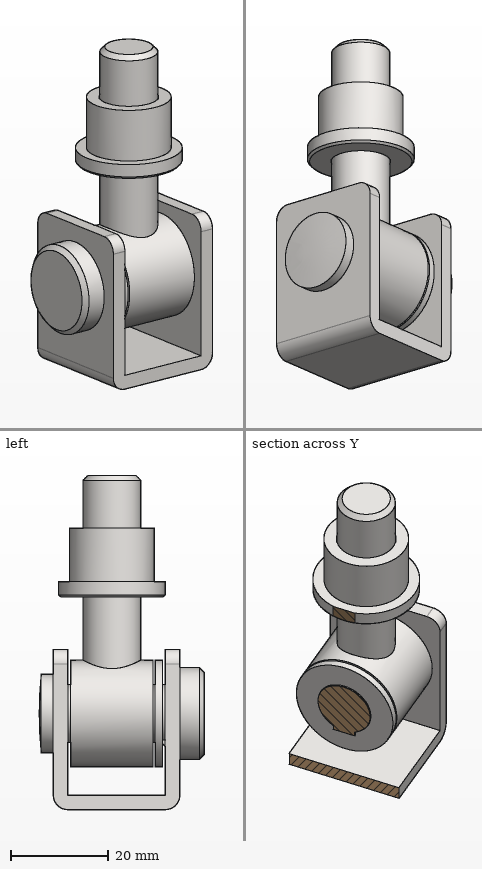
import cadquery as cq
import math

TOTAL_HEIGHT = 68.75

BRACKET_WIDTH = 25.0
BRACKET_HEIGHT = 33.0
PLATE = 3.0
ARM_GAP = 20.0
BEND_RADIUS = PLATE
ARM_CORNER_RADIUS = 3.0
ARM_INNER_Y = ARM_GAP / 2
ARM_OUTER_Y = ARM_INNER_Y + PLATE

PIN_Z = 19.8
PIN_RADIUS = 6.0
PIN_HEAD_RADIUS = 9.5
PIN_HEAD_LENGTH = 5.0
PIN_HEAD_CHAMFER = 1.0
PIN_END_GRIP = 1.4
SIDE_CLEARANCE = 0.55
KEY_WIDTH = 4.95
KEY_REACH = 6.8
KEY_CHAMFER = SIDE_CLEARANCE

CAP_RADIUS = 8.1
CAP_RIM = 2.5
CAP_DOME = 0.4

BARREL_RADIUS = 11.0
BARREL_LENGTH = 17.0
BARREL_CENTRE_Y = ARM_INNER_Y - SIDE_CLEARANCE - BARREL_LENGTH / 2
STEM_RADIUS = 6.0
STEM_CHAMFER = 1.0

WASHER_THICKNESS = 1.5

SLEEVE_RADIUS = 8.7
SLEEVE_LENGTH = 11.0
SLEEVE_BORE_RADIUS = 6.1
SLEEVE_TOP_Z = TOTAL_HEIGHT - 10.85
FLANGE_RADIUS = 11.0
FLANGE_THICKNESS = 3.15
FLANGE_CHAMFER = 0.5


def rod_along_y(radius, start_y, length):
    """Cylinder on the pin axis, running from start_y toward +Y."""
    plane = cq.Plane(origin=(0, start_y, PIN_Z), xDir=(1, 0, 0), normal=(0, 1, 0))
    return cq.Workplane(plane).circle(radius).extrude(length)


def make_key():
    """Block below the pin, from the head to the washer, bevelled at its tip."""
    length = PLATE + SIDE_CLEARANCE
    return (
        cq.Workplane("XY")
        .box(KEY_WIDTH, length, KEY_REACH, centered=(True, False, False))
        .translate((0, -ARM_OUTER_Y, PIN_Z - KEY_REACH))
        .edges(">Y and <Z")
        .chamfer(KEY_CHAMFER)
    )


def make_pin():
    head = (
        rod_along_y(PIN_HEAD_RADIUS, -ARM_OUTER_Y - PIN_HEAD_LENGTH, PIN_HEAD_LENGTH)
        .faces("<Y")
        .chamfer(PIN_HEAD_CHAMFER)
    )
    shaft = rod_along_y(PIN_RADIUS, -ARM_OUTER_Y, 2 * ARM_OUTER_Y + PIN_END_GRIP)
    return head.union(shaft).union(make_key())


def make_cap():
    """Disc with a shallow domed outer face and a blind recess for the pin end."""
    dome_sphere_radius = (CAP_RADIUS**2 + CAP_DOME**2) / (2 * CAP_DOME)
    half_radius = CAP_RADIUS / 2
    half_radius_drop = dome_sphere_radius - math.sqrt(dome_sphere_radius**2 - half_radius**2)
    rim_y = ARM_OUTER_Y + CAP_RIM
    crown_y = rim_y + CAP_DOME
    disc = (
        cq.Workplane("XY")
        .moveTo(0, ARM_OUTER_Y)
        .lineTo(CAP_RADIUS, ARM_OUTER_Y)
        .lineTo(CAP_RADIUS, rim_y)
        .threePointArc((half_radius, crown_y - half_radius_drop), (0, crown_y))
        .close()
        .revolve(360, (0, 0, 0), (0, 1, 0))
        .translate((0, 0, PIN_Z))
    )
    return disc.cut(rod_along_y(PIN_RADIUS, ARM_OUTER_Y, PIN_END_GRIP))


def make_bracket():
    outer = (
        cq.Workplane("XY")
        .box(BRACKET_WIDTH, 2 * ARM_OUTER_Y, BRACKET_HEIGHT, centered=(True, True, False))
        .edges("|X and <Z")
        .fillet(BEND_RADIUS)
        .edges("|Y and >Z")
        .fillet(ARM_CORNER_RADIUS)
    )
    channel = (
        cq.Workplane("XY")
        .box(BRACKET_WIDTH, ARM_GAP, BRACKET_HEIGHT, centered=(True, True, False))
        .translate((0, 0, PLATE))
    )
    pin_hole = rod_along_y(PIN_RADIUS, -ARM_OUTER_Y, 2 * ARM_OUTER_Y)
    return outer.cut(channel).cut(pin_hole).cut(make_key())


def make_eye_bolt():
    barrel_start_y = BARREL_CENTRE_Y - BARREL_LENGTH / 2
    barrel = rod_along_y(BARREL_RADIUS, barrel_start_y, BARREL_LENGTH)
    stem = (
        cq.Workplane("XY", origin=(0, BARREL_CENTRE_Y, PIN_Z))
        .circle(STEM_RADIUS)
        .extrude(TOTAL_HEIGHT - PIN_Z)
        .faces(">Z")
        .chamfer(STEM_CHAMFER)
    )
    return barrel.union(stem).cut(rod_along_y(PIN_RADIUS, barrel_start_y, BARREL_LENGTH))


def make_washer():
    start_y = -ARM_INNER_Y + SIDE_CLEARANCE
    disc = rod_along_y(BARREL_RADIUS, start_y, WASHER_THICKNESS)
    return disc.cut(rod_along_y(PIN_RADIUS, start_y, WASHER_THICKNESS))


def make_sleeve():
    flange_bottom_z = SLEEVE_TOP_Z - SLEEVE_LENGTH - FLANGE_THICKNESS
    return (
        cq.Workplane("XY", origin=(0, BARREL_CENTRE_Y, flange_bottom_z))
        .circle(FLANGE_RADIUS)
        .extrude(FLANGE_THICKNESS)
        .faces("<Z")
        .chamfer(FLANGE_CHAMFER)
        .faces(">Z")
        .workplane()
        .circle(SLEEVE_RADIUS)
        .extrude(SLEEVE_LENGTH)
        .faces(">Z")
        .workplane()
        .circle(SLEEVE_BORE_RADIUS)
        .cutThruAll()
    )


bracket = make_bracket()
pin = make_pin()
cap = make_cap()
eye_bolt = make_eye_bolt()
washer = make_washer()
sleeve = make_sleeve()

bodies = [bracket, pin, cap, eye_bolt, washer, sleeve]
result = cq.Compound.makeCompound([body.solids().val() for body in bodies])